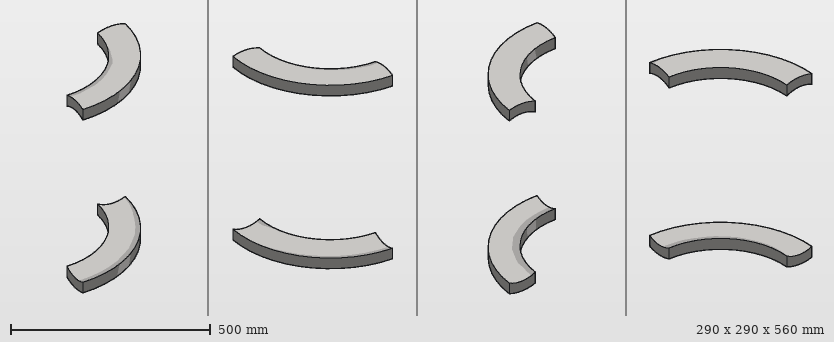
import cadquery as cq
import math

total_height = 560.0
inner_radius = 210.0
outer_radius = 290.0
sweep_angle = 90.0

crown_radius = 253.0
crown_arc_radius = 115.0
wall_thickness = 29.5
hollow_arc_radius = crown_arc_radius - wall_thickness
arc_center_z = total_height / 2 - crown_arc_radius


def arc_point(arc_radius, radius):
    """Section point on an arc about the crown center, at a distance from the Z axis."""
    rise = math.sqrt(arc_radius**2 - (radius - crown_radius) ** 2)
    return (radius, arc_center_z + rise)


def arc_to(profile, arc_radius, start, end):
    """Add the stretch of a section arc between two distances from the Z axis."""
    middle = arc_point(arc_radius, (start + end) / 2)
    return profile.threePointArc(middle, arc_point(arc_radius, end))


def make_upper_segment():
    """Quarter ring with a convex top and a concave underside."""
    profile = cq.Workplane("XZ").moveTo(*arc_point(crown_arc_radius, inner_radius))
    profile = arc_to(profile, crown_arc_radius, inner_radius, outer_radius)
    profile = profile.lineTo(*arc_point(hollow_arc_radius, outer_radius))
    profile = arc_to(profile, hollow_arc_radius, outer_radius, inner_radius)
    return profile.close().revolve(sweep_angle, (0, 0), (0, 1))


def make_lower_segment(upper):
    """Mirror image of the upper segment across the mid-height plane."""
    return upper.mirror("XY")


upper_segment = make_upper_segment()
lower_segment = make_lower_segment(upper_segment)

result = cq.Compound.makeCompound([upper_segment.val(), lower_segment.val()])